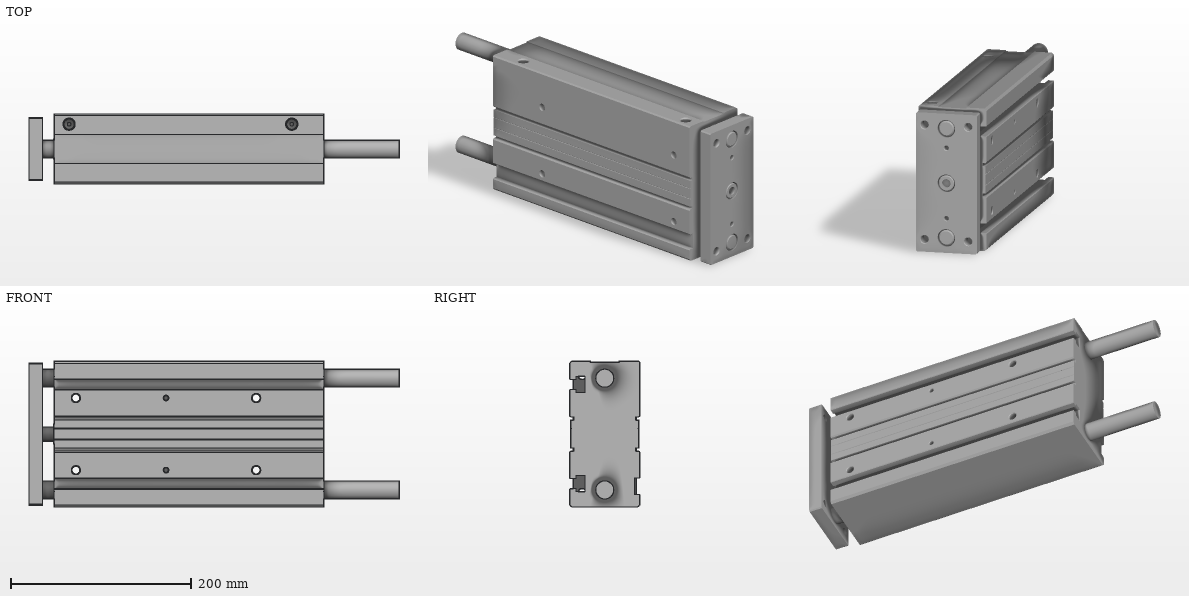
import cadquery as cq
import math

plate_thickness = 15.0
plate_gap = 13.0
housing_length = 299.0
overall_length = 411.0
housing_start = plate_thickness + plate_gap
housing_end = housing_start + housing_length

housing_depth = 78.0
housing_height = 162.0
half_depth = housing_depth / 2
half_height = housing_height / 2
corner_chamfer = 2.5
port_corner_chamfer = 1.5
end_recess_width = 32.0
end_recess_depth = 1.2

slot_height = 55.0
slot_opening = 11.0
slot_lip = 7.0
slot_head_width = 17.8
slot_head_depth = 10.0
slot_mouth_chamfer = 0.8

channel_top = -49.0
channel_width = 17.8
channel_depth = 6.0
channel_chamfer = 1.0

strip_half_width = 15.5
strip_recess = 1.2
groove_outer = 18.9
groove_depth = 5.0
groove_chamfer = 1.4
mark_height = 6.2
mark_width = 1.0
mark_depth = 0.5

mount_positions = [housing_start + 24, housing_start + 224]
mount_height = 40.0
mount_hole_diameter = 8.6
hole_chamfer = 0.8
pin_position = housing_start + 124
pin_diameter = 5.0
pin_depth = 8.0
pin_chamfer = 0.6

port_positions = [housing_start + 16.5, housing_end - 35.5]
port_y = 27.6
port_diameter = 11.4
port_chamfer = 1.1
port_depth = 14.0
port_passage_diameter = 4.0
port_passage_depth = 10.0
drill_angle = 118.0

guide_height = 62.0
guide_diameter = 20.0
piston_diameter = 16.0
piston_end = housing_end - 40.0
collar_diameter = 22.0
collar_length = 1.0

rod_stem_diameter = 14.0
rod_head_diameter = 17.6
rod_head_length = 6.0
rod_head_recess_diameter = 20.0
guide_head_chamfer = 1.4
piston_head_chamfer = 0.8
piston_socket_diameter = 9.5
piston_socket_depth = 4.0

plate_width = 70.0
plate_height = 158.0
plate_chamfer = 1.3
plate_hole_y = 25.0
plate_hole_z = 65.0


def x_cylinder(diameter, start, end, z):
    """Cylinder along X between two stations, on the mid-plane Y = 0."""
    plane = cq.Plane(origin=(start, 0, z), xDir=(0, 0, 1), normal=(1, 0, 0))
    return cq.Workplane(plane).circle(diameter / 2).extrude(end - start)


def x_prism(points):
    """Prism as long as the housing with the given (Y, Z) outline."""
    return cq.Workplane("YZ", origin=(housing_start, 0, 0)).polyline(points).close().extrude(housing_length)


def x_bar(y_min, y_max, z_min, z_max):
    """Rectangular bar as long as the housing."""
    return x_prism([(y_min, z_min), (y_max, z_min), (y_max, z_max), (y_min, z_max)])


def chamfered_hole(plane, diameter, depth, chamfer):
    """Cutting tool for a hole with a chamfered mouth, drilled against the plane's normal."""
    radius = diameter / 2
    mouth_radius = radius + chamfer
    bore = cq.Workplane(plane).circle(radius).extrude(-depth)
    cone = cq.Solid.makeCone(mouth_radius, radius, chamfer, plane.origin, -plane.zDir)
    return bore.union(cq.Workplane(cone))


def front_hole(diameter, x, z, depth, chamfer):
    """Hole drilled into the -Y face of the housing."""
    plane = cq.Plane(origin=(x, -half_depth, z), xDir=(1, 0, 0), normal=(0, -1, 0))
    return chamfered_hole(plane, diameter, depth, chamfer)


def plate_hole(diameter, y, z, chamfer):
    """Hole through the end plate, chamfered at its outer face."""
    plane = cq.Plane(origin=(0, y, z), xDir=(0, 0, 1), normal=(-1, 0, 0))
    return chamfered_hole(plane, diameter, plate_thickness, chamfer)


def chamfered_channel(face_y, inward, z_min, z_max, depth, chamfer):
    """Channel cut into a Y face, with both edges of its mouth chamfered; inward is +1 or -1."""
    return x_prism([
        (face_y, z_min - chamfer),
        (face_y + inward * chamfer, z_min),
        (face_y + inward * depth, z_min),
        (face_y + inward * depth, z_max),
        (face_y + inward * chamfer, z_max),
        (face_y, z_max + chamfer),
    ])


def t_slot(z):
    """T-slot centred at height z, open on the -Y face."""
    mouth = chamfered_channel(
        -half_depth, 1, z - slot_opening / 2, z + slot_opening / 2, slot_lip, slot_mouth_chamfer
    )
    head_start = -half_depth + slot_lip
    head = x_bar(
        head_start, head_start + slot_head_depth, z - slot_head_width / 2, z + slot_head_width / 2
    )
    return mouth.union(head)


def central_strip(side):
    """Recess, side grooves and marking lines in the middle of one Y face; side is +1 or -1."""
    face_y = side * half_depth
    strip_y = face_y - side * strip_recess
    cut = x_bar(face_y, strip_y, -groove_outer, groove_outer)
    for end in (1, -1):
        groove = x_prism([
            (face_y, end * (groove_outer + groove_chamfer)),
            (face_y - side * groove_chamfer, end * groove_outer),
            (face_y - side * groove_depth, end * groove_outer),
            (face_y - side * groove_depth, end * strip_half_width),
            (face_y, end * strip_half_width),
        ])
        mark = x_prism([
            (strip_y, end * mark_height - mark_width / 2),
            (strip_y - side * mark_depth, end * mark_height),
            (strip_y, end * mark_height + mark_width / 2),
        ])
        cut = cut.union(groove).union(mark)
    return cut


def drill_tip_depth(diameter, tip_diameter):
    """Depth of the conical hole bottom between two diameters."""
    return (diameter - tip_diameter) / 2 / math.tan(math.radians(drill_angle / 2))


def air_port(x):
    """Port bored down from the top face, with a conical bottom and a narrow passage below."""
    radius = port_diameter / 2
    passage_radius = port_passage_diameter / 2
    cone_bottom = -port_depth - drill_tip_depth(port_diameter, port_passage_diameter)
    passage_bottom = cone_bottom - port_passage_depth
    profile = [
        (0, 0),
        (radius + port_chamfer, 0),
        (radius, -port_chamfer),
        (radius, -port_depth),
        (passage_radius, cone_bottom),
        (passage_radius, passage_bottom),
        (0, passage_bottom),
    ]
    return (
        cq.Workplane("XZ", origin=(x, port_y, half_height))
        .polyline(profile).close()
        .revolve(360, (0, 0, 0), (0, 1, 0))
    )


def rod_with_head(diameter, end, z, head_chamfer):
    """Rod whose stem passes through the end plate and ends in a chamfered head flush with it."""
    head = x_cylinder(rod_head_diameter, 0, rod_head_length, z).faces("<X").chamfer(head_chamfer)
    stem = x_cylinder(rod_stem_diameter, rod_head_length, plate_thickness, z)
    shank = x_cylinder(diameter, plate_thickness, end, z)
    return shank.union(stem).union(head)


def make_guide_rod(z):
    """Guide rod from the outer face of the end plate to the far end."""
    return rod_with_head(guide_diameter, overall_length, z, guide_head_chamfer)


def make_piston_rod():
    """Piston rod with a round socket in its head."""
    rod = rod_with_head(piston_diameter, piston_end, 0, piston_head_chamfer)
    return rod.cut(x_cylinder(piston_socket_diameter, 0, piston_socket_depth, 0))


def make_end_plate():
    """End plate with counterbored holes for the three rods, corner holes and pin holes."""
    plate = (
        cq.Workplane("XY")
        .box(plate_thickness, plate_width, plate_height, centered=(False, True, True))
        .edges("|X").chamfer(plate_chamfer)
    )
    for z in (guide_height, 0, -guide_height):
        plate = plate.cut(x_cylinder(rod_stem_diameter, 0, plate_thickness, z))
        plate = plate.cut(x_cylinder(rod_head_recess_diameter, 0, rod_head_length, z))
    for side in (1, -1):
        for y in (plate_hole_y, -plate_hole_y):
            plate = plate.cut(plate_hole(mount_hole_diameter, y, side * plate_hole_z, hole_chamfer))
        plate = plate.cut(plate_hole(pin_diameter, 0, side * mount_height, pin_chamfer))
    return plate


def make_housing():
    """Extruded housing with slots, holes, ports and rod bores."""
    body = x_prism([
        (-half_depth, half_height - corner_chamfer),
        (-half_depth, corner_chamfer - half_height),
        (corner_chamfer - half_depth, -half_height),
        (half_depth - corner_chamfer, -half_height),
        (half_depth, corner_chamfer - half_height),
        (half_depth, half_height - port_corner_chamfer),
        (half_depth - port_corner_chamfer, half_height),
        (corner_chamfer - half_depth, half_height),
    ])
    body = body.cut(x_bar(
        -end_recess_width / 2, end_recess_width / 2, half_height - end_recess_depth, half_height
    ))
    for z in (slot_height, -slot_height):
        body = body.cut(t_slot(z))
    body = body.cut(chamfered_channel(
        half_depth, -1, channel_top - channel_width, channel_top, channel_depth, channel_chamfer
    ))
    for side in (1, -1):
        body = body.cut(central_strip(side))
    for z in (mount_height, -mount_height):
        for x in mount_positions:
            body = body.cut(front_hole(mount_hole_diameter, x, z, housing_depth, hole_chamfer))
        body = body.cut(front_hole(pin_diameter, pin_position, z, pin_depth, pin_chamfer))
    for x in port_positions:
        body = body.cut(air_port(x))
    body = body.union(x_cylinder(collar_diameter, housing_start - collar_length, housing_start, 0))
    body = body.cut(x_cylinder(piston_diameter, housing_start - collar_length, piston_end, 0))
    for z in (guide_height, -guide_height):
        body = body.cut(x_cylinder(guide_diameter, housing_start, housing_end, z))
    return body


housing = make_housing()
end_plate = make_end_plate()
piston_rod = make_piston_rod()
guide_rods = [make_guide_rod(z) for z in (guide_height, -guide_height)]

result = cq.Compound.makeCompound(
    [housing.val(), end_plate.val(), piston_rod.val()] + [rod.val() for rod in guide_rods]
)